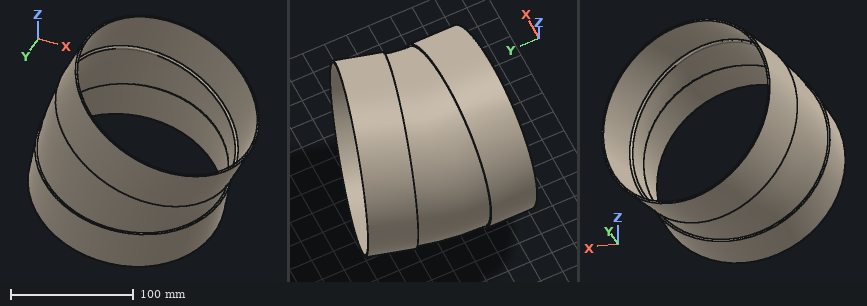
import cadquery as cq
import math

socket_outer_diameter = 163.6
wall = 1.8
socket_length = 41.8
bend_angle = 15.0
bend_radius = 159.7
lip_radius = wall

socket_outer_radius = socket_outer_diameter / 2
socket_bore_radius = socket_outer_radius - wall
bend_bore_radius = socket_bore_radius - lip_radius

angle = math.radians(bend_angle)
bend_end = (
    bend_radius * (1 - math.cos(angle)),
    socket_length + bend_radius * math.sin(angle),
    0,
)
far_axis = (math.sin(angle), math.cos(angle), 0)


def bent_rod(radius):
    """Round bar along the bend's centreline, starting at the near socket."""
    return (
        cq.Workplane("XZ", origin=(0, socket_length, 0))
        .circle(radius)
        .revolve(bend_angle, (bend_radius, 0, 0), (bend_radius, -1, 0))
    )


def socket(shoulder_center, outward):
    """Open socket revolved about its axis, with a rounded lip leading into the bend's bore."""
    lip_middle = (
        socket_bore_radius - lip_radius * math.cos(math.pi / 4),
        lip_radius * math.sin(math.pi / 4),
    )
    plane = cq.Plane(origin=shoulder_center, xDir=(0, 0, 1), normal=outward)
    plane = plane.rotated((90, 0, 0))
    return (
        cq.Workplane(plane)
        .moveTo(bend_bore_radius, 0)
        .lineTo(socket_outer_radius, 0)
        .lineTo(socket_outer_radius, socket_length)
        .lineTo(socket_bore_radius, socket_length)
        .lineTo(socket_bore_radius, lip_radius)
        .threePointArc(lip_middle, (bend_bore_radius, 0))
        .close()
        .revolve(360, (0, 0, 0), (0, 1, 0))
    )


bend = bent_rod(socket_bore_radius).cut(bent_rod(bend_bore_radius))
near_socket = socket((0, socket_length, 0), (0, -1, 0))
far_socket = socket(bend_end, far_axis)

result = bend.union(near_socket).union(far_socket)